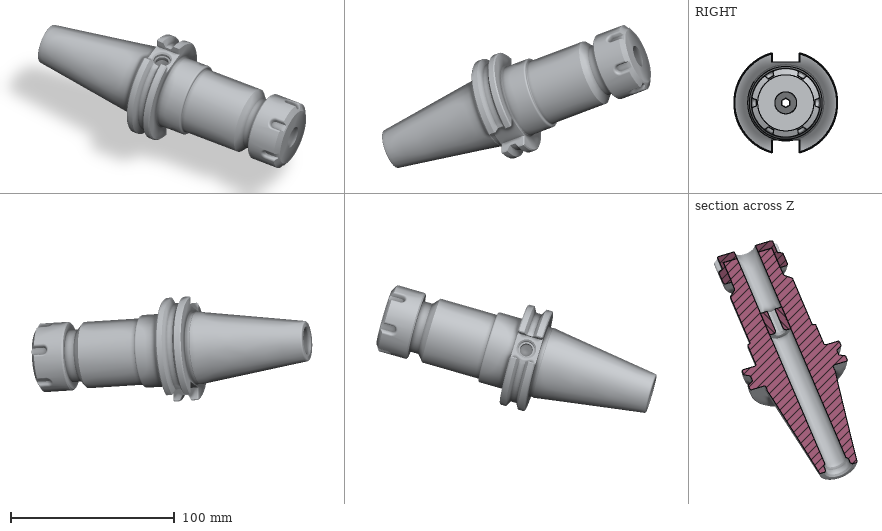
import cadquery as cq
import math

TOLERANCE = 0.02

overall_length = 169.9
gauge_x = 68.5
relief_x = 68.8
flange_start = 71.5
flange_end = 87.3
spigot_end = 103.6
barrel_end = 139.8
nose_start = 143.7
nut_start = 149.3
front_wall = 5.1
nose_end = overall_length - front_wall

taper_ratio = 7 / 24
gauge_diameter = 44.5
taper_end_diameter = gauge_diameter - taper_ratio * gauge_x
relief_diameter = 44.0
flange_diameter = 63.5
spigot_diameter = 44.5
barrel_diameter = 40.6
nose_diameter = 32.0
edge_radius = 1.0
relief_radius = 0.7
barrel_root_radius = 0.5
flange_chamfer = 0.7

groove_x = 79.5
groove_floor_diameter = 56.4
groove_floor_width = 3.5
groove_flank_angle = 60
drive_slot_width = 16.1
upper_slot_floor = 25.0
lower_slot_floor = 22.8
marker_mouth_diameter = 12.0
marker_diameter = 10.2
marker_depth = 2.5
marker_drill_diameter = 8.0
marker_drill_depth = 5.1
drill_point_angle = 140

bore_mouth_diameter = 18.0
bore_entry_diameter = 15.8
bore_entry_depth = 4.6
bore_diameter = 13.5

screw_start = 105.3
screw_length = 17.0
socket_mouth_diameter = 7.5
socket_width = 4.8

nut_diameter = 42.0
nut_back_chamfer = 0.8
nut_front_length = 2.4
nut_face_diameter = 34.3
wrench_slots = 6
wrench_floor_width = 3.9
wrench_wall_draft = 20
wrench_slot_length = 7.6
wrench_floor_radius = 18.0
wrench_rim_fillet = 1.2


def revolve_about_x(outline):
    """Turn a closed outline of (x, radius) points about the X axis."""
    return cq.Workplane("XZ").polyline(outline).close().revolve(360, (0, 0, 0), (1, 0, 0))


def rim(body, x, diameter):
    """The circular edge of the given diameter that lies at the given x."""
    return body.edges("%CIRCLE").filter(
        lambda edge: abs(edge.Center().x - x) < TOLERANCE and abs(edge.radius() - diameter / 2) < TOLERANCE
    )


def groove_flank_width():
    groove_depth = (flange_diameter - groove_floor_diameter) / 2
    return groove_depth / math.tan(math.radians(groove_flank_angle))


def holder_blank():
    floor_half = groove_floor_width / 2
    mouth_half = floor_half + groove_flank_width()
    outline = [
        (0, 0),
        (0, taper_end_diameter / 2),
        (gauge_x, gauge_diameter / 2),
        (relief_x, relief_diameter / 2),
        (flange_start, relief_diameter / 2),
        (flange_start, flange_diameter / 2),
        (groove_x - mouth_half, flange_diameter / 2),
        (groove_x - floor_half, groove_floor_diameter / 2),
        (groove_x + floor_half, groove_floor_diameter / 2),
        (groove_x + mouth_half, flange_diameter / 2),
        (flange_end, flange_diameter / 2),
        (flange_end, spigot_diameter / 2),
        (spigot_end, spigot_diameter / 2),
        (spigot_end, barrel_diameter / 2),
        (barrel_end, barrel_diameter / 2),
        (nose_start, nose_diameter / 2),
        (nose_end, nose_diameter / 2),
        (nose_end, 0),
    ]
    blank = revolve_about_x(outline)
    for x, diameter, radius in [
        (0, taper_end_diameter, edge_radius),
        (flange_start, relief_diameter, relief_radius),
        (flange_end, spigot_diameter, edge_radius),
        (spigot_end, spigot_diameter, edge_radius),
        (spigot_end, barrel_diameter, barrel_root_radius),
    ]:
        blank = rim(blank, x, diameter).fillet(radius)
    for x in (flange_start, flange_end):
        blank = rim(blank, x, flange_diameter).chamfer(flange_chamfer)
    return blank


def drive_slot(floor, side):
    length = flange_end - flange_start
    height = flange_diameter / 2 - floor + 1.7
    slot = cq.Workplane("XY").box(length, drive_slot_width, height)
    middle = (flange_start + flange_end) / 2
    return slot.translate((middle, 0, side * (floor + height / 2)))


def chamfer_slot_edges(holder):
    """Chamfer the drive slot walls where they meet the flange faces and its outer diameter."""
    half_slot = drive_slot_width / 2
    half_groove = groove_floor_width / 2

    def is_rim(edge):
        box = edge.BoundingBox()
        in_wall = box.ylen < TOLERANCE and abs(abs(box.center.y) - half_slot) < TOLERANCE
        along_slot = box.zlen < TOLERANCE
        on_floor = along_slot and abs(box.center.z) < upper_slot_floor + TOLERANCE
        off_groove = abs(box.center.x - groove_x) > half_groove + groove_flank_width()
        return in_wall and not on_floor and off_groove

    return holder.edges().filter(is_rim).chamfer(flange_chamfer)


def bore():
    lead = (bore_mouth_diameter - bore_entry_diameter) / 2
    step = (bore_entry_diameter - bore_diameter) / 2
    return revolve_about_x([
        (0, 0),
        (0, bore_mouth_diameter / 2),
        (lead, bore_entry_diameter / 2),
        (bore_entry_depth, bore_entry_diameter / 2),
        (bore_entry_depth + step, bore_diameter / 2),
        (nose_end, bore_diameter / 2),
        (nose_end, 0),
    ])


def marker_hole():
    """Stepped blind hole with a drill point, sunk into the floor of the upper drive slot."""
    sink = (marker_mouth_diameter - marker_diameter) / 2
    point = marker_drill_diameter / 2 / math.tan(math.radians(drill_point_angle / 2))
    outline = [
        (0, 0),
        (marker_mouth_diameter / 2, 0),
        (marker_diameter / 2, -sink),
        (marker_diameter / 2, -marker_depth),
        (marker_drill_diameter / 2, -marker_depth),
        (marker_drill_diameter / 2, -marker_drill_depth),
        (0, -marker_drill_depth - point),
    ]
    hole = cq.Workplane("XZ").polyline(outline).close().revolve(360, (0, 0, 0), (0, 1, 0))
    return hole.translate((groove_x, 0, upper_slot_floor))


def make_holder():
    holder = holder_blank()
    holder = holder.cut(drive_slot(upper_slot_floor, 1))
    holder = holder.cut(drive_slot(lower_slot_floor, -1))
    holder = chamfer_slot_edges(holder)
    return holder.cut(marker_hole()).cut(bore())


def make_screw():
    screw = cq.Workplane("YZ").circle(bore_diameter / 2).extrude(screw_length)
    corners = socket_width / math.cos(math.pi / 6)
    socket = cq.Workplane("YZ").transformed(rotate=(0, 0, 90)).polygon(6, corners).extrude(screw_length)
    sink = revolve_about_x([(0, 0), (0, socket_mouth_diameter / 2), (socket_mouth_diameter / 2, 0)])
    return screw.cut(socket).cut(sink).translate((screw_start, 0, 0))


def wrench_slot():
    """Cutter for the slot on the -Y side: round inner end, drafted walls, open at the front face."""
    half = wrench_floor_width / 2
    start = overall_length - wrench_slot_length
    return (
        cq.Workplane("XZ", origin=(0, -wrench_floor_radius, 0))
        .moveTo(overall_length + 1.7, half)
        .lineTo(start, half)
        .threePointArc((start - half, 0), (start, -half))
        .lineTo(overall_length + 1.7, -half)
        .close()
        .extrude(nut_diameter / 2 - wrench_floor_radius + 1.7, taper=-wrench_wall_draft)
    )


def round_wrench_rims(nut):
    """Round the edges where the wrench slots open onto the outside of the nut."""
    chamfer_start = overall_length - nut_front_length

    def is_rim(edge):
        box = edge.BoundingBox()
        on_outside = all(
            abs(math.hypot(v.Y, v.Z) - nut_diameter / 2) < TOLERANCE for v in edge.Vertices()
        )
        inside_length = box.xmin > nut_start + 1.7 and box.xmin < chamfer_start - TOLERANCE
        return on_outside and inside_length

    return nut.edges().filter(is_rim).fillet(wrench_rim_fillet)


def make_nut():
    r = nut_diameter / 2
    nut = revolve_about_x([
        (nut_start, nose_diameter / 2),
        (nut_start, r - nut_back_chamfer),
        (nut_start + nut_back_chamfer, r),
        (overall_length - nut_front_length, r),
        (overall_length, nut_face_diameter / 2),
        (overall_length, bore_diameter / 2),
        (nose_end, bore_diameter / 2),
        (nose_end, nose_diameter / 2),
    ])
    for i in range(wrench_slots):
        nut = nut.cut(wrench_slot().rotate((0, 0, 0), (1, 0, 0), i * 360 / wrench_slots))
    return round_wrench_rims(nut)


holder = make_holder()
screw = make_screw()
nut = make_nut()
result = cq.Compound.makeCompound([holder.val(), screw.val(), nut.val()])